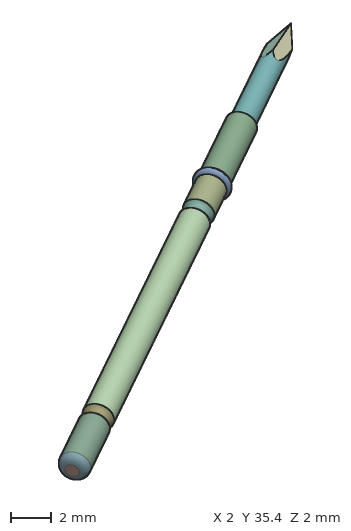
import cadquery as cq

total_length = 35.4
barrel_diameter = 1.65
plunger_diameter = 1.32
collar_diameter = 2.0
collar_bead_width = 0.48

shoulder_y = 27.35
collar_y = 22.65
groove_stations = (3.9, 20.1)

groove_width = 0.68
groove_floor_diameter = 1.34
tail_round = 0.45

top_ridge_length = 2.92
side_ridge_length = 1.84

barrel_radius = barrel_diameter / 2
plunger_radius = plunger_diameter / 2
collar_radius = collar_diameter / 2
collar_bead_half_width = collar_bead_width / 2


def cylinder(radius, start_y, end_y):
    """Solid cylinder on the Y axis between two stations."""
    profile = cq.Workplane("XZ", origin=(0, start_y, 0)).circle(radius)
    return profile.extrude(start_y - end_y)


def barrel():
    """Straight barrel with a rounded tail."""
    return cylinder(barrel_radius, 0, shoulder_y).faces("<Y").edges().fillet(tail_round)


def collar_bead():
    """Rounded bead around the barrel."""
    return (
        cq.Workplane("XY")
        .moveTo(0, collar_y - collar_bead_half_width)
        .lineTo(barrel_radius, collar_y - collar_bead_half_width)
        .threePointArc((collar_radius, collar_y), (barrel_radius, collar_y + collar_bead_half_width))
        .lineTo(0, collar_y + collar_bead_half_width)
        .close()
        .revolve(360, (0, 0, 0), (0, 1, 0))
    )


def crimp_groove(center_y):
    """Ring cutter for a shallow groove with a circular-arc bottom."""
    lower_y = center_y - groove_width / 2
    upper_y = center_y + groove_width / 2
    return (
        cq.Workplane("XY")
        .moveTo(barrel_radius, lower_y)
        .threePointArc((groove_floor_diameter / 2, center_y), (barrel_radius, upper_y))
        .lineTo(collar_radius, upper_y)
        .lineTo(collar_radius, lower_y)
        .close()
        .revolve(360, (0, 0, 0), (0, 1, 0))
    )


def point_pyramid():
    """Four-sided pyramid, long enough to enclose the plunger at the shoulder."""
    height = total_length - shoulder_y
    half_x = plunger_radius * height / side_ridge_length
    half_z = plunger_radius * height / top_ridge_length
    corners = [(half_x, 0), (0, half_z), (-half_x, 0), (0, -half_z)]
    base_points = [cq.Vector(x, shoulder_y, z) for x, z in corners]
    apex = cq.Vector(0, total_length, 0)
    faces = [cq.Face.makeFromWires(cq.Wire.makePolygon(base_points, close=True))]
    for index, corner in enumerate(base_points):
        triangle = cq.Wire.makePolygon([base_points[index - 1], corner, apex], close=True)
        faces.append(cq.Face.makeFromWires(triangle))
    return cq.Workplane(cq.Solid.makeSolid(cq.Shell.makeShell(faces)))


def plunger():
    """Slimmer front length ground to a four-sided point."""
    return cylinder(plunger_radius, shoulder_y, total_length).intersect(point_pyramid())


body = barrel().union(collar_bead())
for station in groove_stations:
    body = body.cut(crimp_groove(station))

result = body.union(plunger())